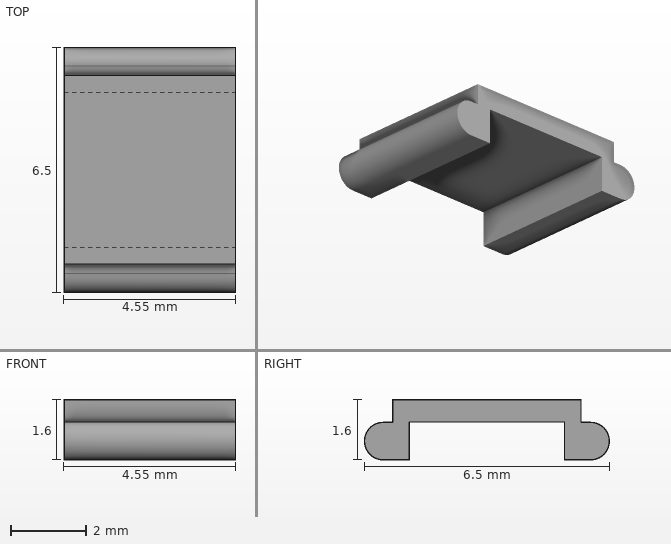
import cadquery as cq

length = 4.55
overall_width = 6.5
height = 1.6
rail_height = 1.0
plate_width = 5.0
channel_width = 4.11

rail_radius = rail_height / 2
half_width = overall_width / 2
half_plate = plate_width / 2
half_channel = channel_width / 2
round_start = half_width - rail_radius

profile = (
    cq.Workplane("YZ")
    .moveTo(half_channel, 0)
    .lineTo(round_start, 0)
    .threePointArc((half_width, rail_radius), (round_start, rail_height))
    .lineTo(half_plate, rail_height)
    .lineTo(half_plate, height)
    .lineTo(-half_plate, height)
    .lineTo(-half_plate, rail_height)
    .lineTo(-round_start, rail_height)
    .threePointArc((-half_width, rail_radius), (-round_start, 0))
    .lineTo(-half_channel, 0)
    .lineTo(-half_channel, rail_height)
    .lineTo(half_channel, rail_height)
    .close()
)

result = profile.extrude(length / 2, both=True)